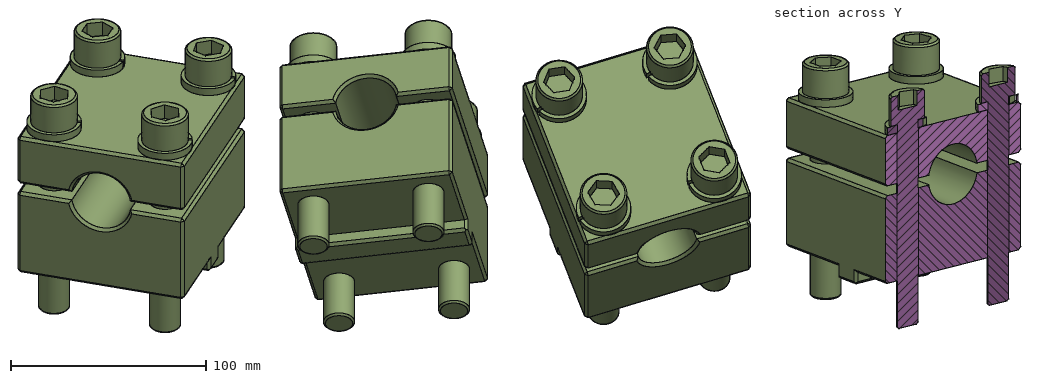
import cadquery as cq
import math


WIDTH = 90.0
LENGTH = 100.0
UPPER_HEIGHT = 27.5
LOWER_HEIGHT = 47.5
GAP = 5.0
BORE_DIAMETER = 32.0
EDGE_CHAMFER = 1.5
KEY_WIDTH = 15.0
KEY_HEIGHT = 6.5

SHANK_DIAMETER = 16.0
HEAD_DIAMETER = 24.0
HEAD_HEIGHT = SHANK_DIAMETER
HEAD_CHAMFER = 1.0
TIP_CHAMFER = 1.0
TIP_PROJECTION = 26.0
SOCKET_FLATS = 14.0
SOCKET_DEPTH = 8.0
SCREW_SPACING_X = 60.0
SCREW_SPACING_Y = 70.0

WASHER_DIAMETER = 28.0
WASHER_THICKNESS = 4.0
WASHER_SPLIT = 1.5

UPPER_BASE = GAP / 2
UPPER_TOP = UPPER_BASE + UPPER_HEIGHT
LOWER_TOP = -GAP / 2
LOWER_BASE = LOWER_TOP - LOWER_HEIGHT
HEAD_BASE = UPPER_TOP + WASHER_THICKNESS
TIP_LEVEL = LOWER_BASE - TIP_PROJECTION

SCREW_PLACES = [
    (-1, 1, 0),
    (1, 1, 8),
    (-1, -1, 16),
    (1, -1, 21),
]


def screw_centre(place):
    """Position of a screw axis in X, Y and Z."""
    side_x, side_y, _ = place
    return (side_x * SCREW_SPACING_X / 2, side_y * SCREW_SPACING_Y / 2, 0)


def slab(length, base, height):
    """Block of full clamp width, centred on the Z axis and standing on the level base."""
    return (
        cq.Workplane("XY", origin=(0, 0, base))
        .rect(WIDTH, length)
        .extrude(height)
    )


def cut_bore(block):
    """Cut the round seat for the clamped bar through the block along Y."""
    bore = (
        cq.Workplane("XZ")
        .circle(BORE_DIAMETER / 2)
        .extrude(LENGTH / 2, both=True)
    )
    return block.cut(bore)


def chamfer_sides(block):
    """Chamfer every edge of the four side faces, including the mouths of the bore."""
    return block.faces("<X or >X or <Y or >Y").edges().chamfer(EDGE_CHAMFER)


def drill_screw_holes(block):
    """Drill the four screw holes down through the block."""
    drills = (
        cq.Workplane("XY", origin=(0, 0, TIP_LEVEL))
        .pushPoints([screw_centre(place) for place in SCREW_PLACES])
        .circle(SHANK_DIAMETER / 2)
        .extrude(HEAD_BASE - TIP_LEVEL)
    )
    return block.cut(drills)


def make_upper_block():
    block = cut_bore(slab(LENGTH, UPPER_BASE, UPPER_HEIGHT))
    return drill_screw_holes(chamfer_sides(block))


def make_key():
    """Locating key, carried up through the chamfer under the lower block to meet its full width."""
    key = slab(KEY_WIDTH, LOWER_BASE - KEY_HEIGHT, KEY_HEIGHT + EDGE_CHAMFER)
    key = key.edges("|Z or (<Z and |Y)").chamfer(EDGE_CHAMFER)
    return key.faces("<Z").edges("|X").chamfer(EDGE_CHAMFER)


def make_lower_block():
    block = cut_bore(slab(LENGTH, LOWER_BASE, LOWER_HEIGHT))
    block = chamfer_sides(block).union(make_key())
    return drill_screw_holes(block)


def place_on_screw(body, place):
    """Turn a body about the Z axis and move it onto one screw axis."""
    turn = place[-1]
    return body.rotate((0, 0, 0), (0, 0, 1), turn).translate(screw_centre(place))


def make_screw(place):
    """Socket head cap screw; before turning, two socket corners point along Y."""
    head = (
        cq.Workplane("XY", origin=(0, 0, HEAD_BASE))
        .circle(HEAD_DIAMETER / 2)
        .extrude(HEAD_HEIGHT)
        .faces(">Z")
        .chamfer(HEAD_CHAMFER)
    )
    shank = (
        cq.Workplane("XY", origin=(0, 0, TIP_LEVEL))
        .circle(SHANK_DIAMETER / 2)
        .extrude(HEAD_BASE - TIP_LEVEL)
        .faces("<Z")
        .chamfer(TIP_CHAMFER)
    )
    across_corners = SOCKET_FLATS / math.cos(math.pi / 6)
    socket = (
        cq.Workplane("XY", origin=(0, 0, HEAD_BASE + HEAD_HEIGHT - SOCKET_DEPTH))
        .transformed(rotate=(0, 0, 90))
        .polygon(6, across_corners)
        .extrude(SOCKET_DEPTH)
    )
    return place_on_screw(head.union(shank).cut(socket), place)


def make_washer(place):
    """Lock washer; before turning, its split opens toward +X."""
    ring = (
        cq.Workplane("XY", origin=(0, 0, UPPER_TOP))
        .circle(WASHER_DIAMETER / 2)
        .circle(SHANK_DIAMETER / 2)
        .extrude(WASHER_THICKNESS)
    )
    split = (
        cq.Workplane("XY", origin=(WASHER_DIAMETER / 2, 0, UPPER_TOP))
        .rect(WASHER_DIAMETER, WASHER_SPLIT)
        .extrude(WASHER_THICKNESS)
    )
    return place_on_screw(ring.cut(split), place)


upper_block = make_upper_block()
lower_block = make_lower_block()
screws = [make_screw(place) for place in SCREW_PLACES]
washers = [make_washer(place) for place in SCREW_PLACES]

result = cq.Compound.makeCompound([
    upper_block.val(),
    lower_block.val(),
    *[screw.val() for screw in screws],
    *[washer.val() for washer in washers],
])